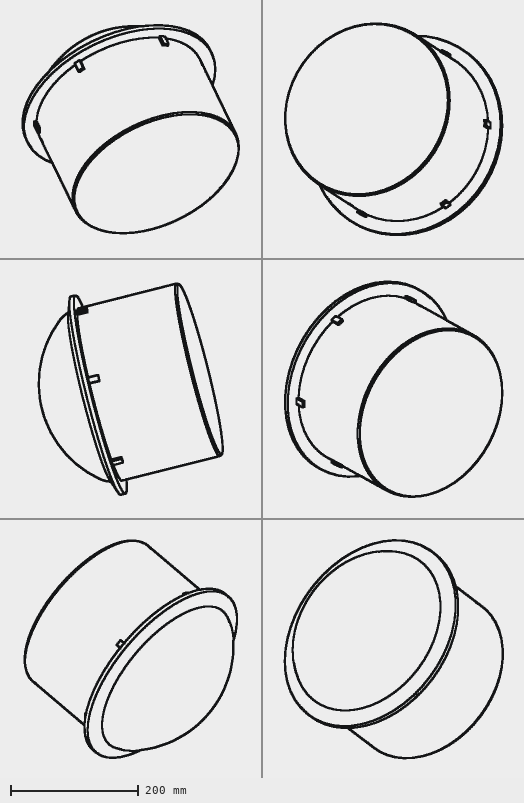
import cadquery as cq
import math

total_length = 257.0
dome_depth = 60.5
shoulder_end = 79.0
flange_front = 87.3
flange_back = 94.7

dome_edge_radius = 128.0
shoulder_radius = 137.8
flange_radius = 161.0
barrel_radius = 280.0 / 2
barrel_chamfer_length = 3.2
barrel_chamfer_drop = 2.0

rib_count = 6
rib_length = 16.5
rib_width = 9.5
rib_outer_radius = 144.0
rib_embed = 6.5
rib_root_radius = barrel_radius - rib_embed

sphere_radius = (dome_edge_radius**2 + dome_depth**2) / (2 * dome_depth)
edge_angle = math.asin(dome_edge_radius / sphere_radius)
dome_mid = (
    sphere_radius * (1 - math.cos(edge_angle / 2)),
    sphere_radius * math.sin(edge_angle / 2),
)


def make_body():
    """Dome, rounded shoulder, coned flange and barrel, revolved about X."""
    profile = (
        cq.Workplane("XY")
        .moveTo(0, 0)
        .threePointArc(dome_mid, (dome_depth, dome_edge_radius))
        .tangentArcPoint((shoulder_end, shoulder_radius), relative=False)
        .lineTo(flange_front, flange_radius)
        .lineTo(flange_back, flange_radius)
        .lineTo(flange_back, barrel_radius)
        .lineTo(total_length - barrel_chamfer_length, barrel_radius)
        .lineTo(total_length, barrel_radius - barrel_chamfer_drop)
        .lineTo(total_length, 0)
        .close()
    )
    return profile.revolve(360, (0, 0, 0), (1, 0, 0))


def make_rib(angle):
    """Small rectangular rib standing on the barrel, rooted in its wall and touching the flange."""
    rib = cq.Workplane("XY").box(
        rib_length,
        rib_outer_radius - rib_root_radius,
        rib_width,
        centered=(False, False, True),
    )
    rib = rib.translate((flange_back, rib_root_radius, 0))
    return rib.rotate((0, 0, 0), (1, 0, 0), angle)


result = make_body()
for index in range(rib_count):
    result = result.union(make_rib(index * 360 / rib_count))